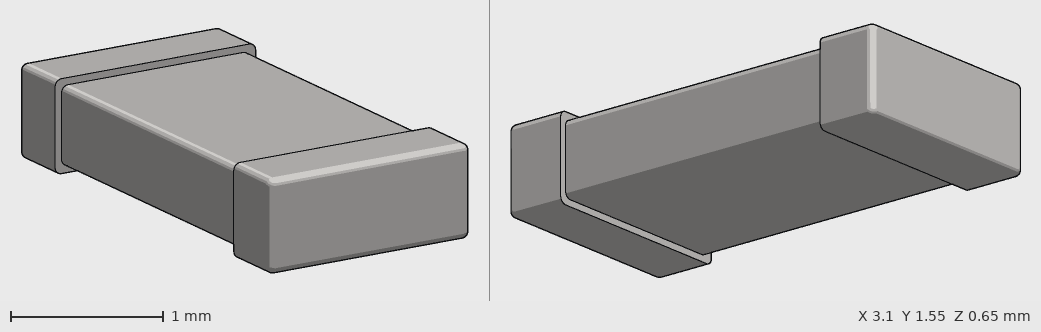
import cadquery as cq

length = 3.1
width = 1.55
height = 0.65

terminal_length = 0.45
terminal_step = 0.05
edge_radius = 0.05

body_length = length - 2 * terminal_length
body_width = width - 2 * terminal_step
body_height = height - 2 * terminal_step


def make_body():
    """Ceramic body between the terminals, with its long edges rounded."""
    return cq.Workplane("XY").box(body_length, body_width, body_height).edges("|X").fillet(edge_radius)


def make_terminal(side):
    """End terminal at +X (side 1) or -X (side -1), rounded except around its inner face."""
    outer_face = ">X" if side > 0 else "<X"
    center_x = side * (length - terminal_length) / 2
    return (
        cq.Workplane("XY")
        .box(terminal_length, width, height)
        .edges(f"|X or {outer_face}")
        .fillet(edge_radius)
        .translate((center_x, 0, 0))
    )


body = make_body()
terminals = [make_terminal(side) for side in (-1, 1)]

result = cq.Compound.makeCompound([body.val(), *[terminal.val() for terminal in terminals]])